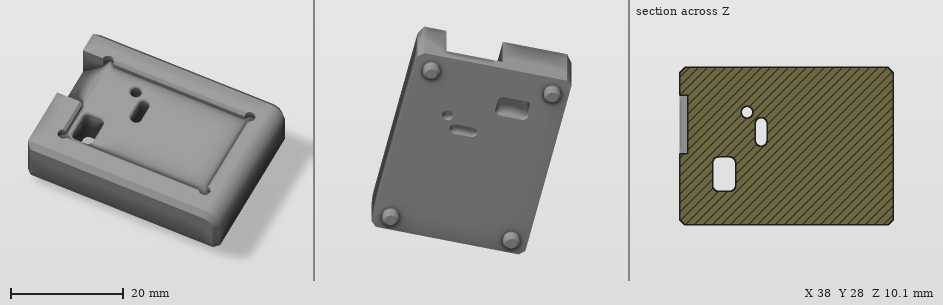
import cadquery as cq

LENGTH = 38
WIDTH = 28.0
TOTAL_HEIGHT = 10.1
FOOT_HEIGHT = 1.6
BODY_HEIGHT = TOTAL_HEIGHT - FOOT_HEIGHT
EDGE_CHAMFER = 1.0
END_RADIUS = 3.0

TRAY_LENGTH = 28.0
TRAY_WIDTH = 18.0
TRAY_DEPTH = 1.5
TRAY_CHAMFER = 0.5
RELIEF_DIAMETER = 2.0
FLOOR_Z = BODY_HEIGHT - TRAY_DEPTH

RAMP_BACK_Y = TRAY_WIDTH / 2
RAMP_WIDTH = 10.3
RAMP_LENGTH = (LENGTH - TRAY_LENGTH) / 2
RAMP_START_Z = FLOOR_Z - RAMP_LENGTH

OPENING_CHAMFER = 0.25
HOLE_DIAMETER = 2.0
HOLE_CENTER = (-7.0, 6.0)
SLOT_LENGTH = 5.0
SLOT_WIDTH = 2.0
SLOT_CENTER = (-4.5, 2.5)
WINDOW_LENGTH = 4.0
WINDOW_WIDTH = 6.0
WINDOW_RADIUS = 1.0
WINDOW_CENTER = (-11.05, -4.98)

FOOT_DIAMETER = 3.0
FOOT_CHAMFER = 0.5
FOOT_INSET = 3.0


def make_body():
    """Block with a rounded +X top edge and chamfered front and back faces."""
    block = cq.Workplane("XY").box(LENGTH, WIDTH, BODY_HEIGHT, centered=(True, True, False))
    block = block.edges(">X and >Z").fillet(END_RADIUS)
    for side in ("<Y", ">Y"):
        block = block.faces(side).edges("not(<Z)").chamfer(EDGE_CHAMFER)
    return block


def make_tray():
    """Tray volume, widening at its rim, with a round relief at each corner."""
    tray = (
        cq.Workplane("XY", origin=(0, 0, FLOOR_Z))
        .rect(TRAY_LENGTH, TRAY_WIDTH)
        .extrude(TRAY_DEPTH)
    )
    rim = (
        cq.Workplane("XY", origin=(0, 0, BODY_HEIGHT))
        .rect(TRAY_LENGTH + 2 * TRAY_CHAMFER, TRAY_WIDTH + 2 * TRAY_CHAMFER)
        .workplane(offset=-TRAY_CHAMFER)
        .rect(TRAY_LENGTH, TRAY_WIDTH)
        .loft(ruled=True)
    )
    reliefs = (
        cq.Workplane("XY", origin=(0, 0, FLOOR_Z))
        .rect(TRAY_LENGTH, TRAY_WIDTH, forConstruction=True)
        .vertices()
        .circle(RELIEF_DIAMETER / 2)
        .extrude(TRAY_DEPTH)
    )
    return tray.union(rim).union(reliefs)


def make_ramp_profile(back_y, width):
    """Space above the ramp slope, reaching from back_y toward -Y by width."""
    side_x = -LENGTH / 2
    tray_x = -TRAY_LENGTH / 2
    return (
        cq.Workplane("XZ", origin=(0, back_y, 0))
        .moveTo(side_x, RAMP_START_Z)
        .lineTo(tray_x, FLOOR_Z)
        .lineTo(tray_x, BODY_HEIGHT)
        .lineTo(side_x, BODY_HEIGHT)
        .close()
        .extrude(width)
    )


def make_ramp():
    """Ramp channel, with the adjoining corner relief deepened to the slope."""
    channel = make_ramp_profile(RAMP_BACK_Y, RAMP_WIDTH)
    relief_radius = RELIEF_DIAMETER / 2
    relief = (
        cq.Workplane("XY")
        .center(-TRAY_LENGTH / 2, RAMP_BACK_Y)
        .circle(relief_radius)
        .extrude(BODY_HEIGHT)
        .intersect(make_ramp_profile(RAMP_BACK_Y + relief_radius, RELIEF_DIAMETER))
    )
    return channel.union(relief)


def make_openings():
    """Through cutters for the round hole, the slot and the window."""
    base = cq.Workplane("XY")
    hole = base.center(*HOLE_CENTER).circle(HOLE_DIAMETER / 2).extrude(FLOOR_Z)
    slot = base.center(*SLOT_CENTER).slot2D(SLOT_LENGTH, SLOT_WIDTH, 90).extrude(FLOOR_Z)
    window = (
        base.center(*WINDOW_CENTER)
        .rect(WINDOW_LENGTH, WINDOW_WIDTH)
        .extrude(FLOOR_Z)
        .edges("|Z")
        .fillet(WINDOW_RADIUS)
    )
    return [hole, slot, window]


def cut_openings(body):
    """Cut each opening and chamfer its edge at the tray floor."""
    for opening in make_openings():
        body = body.cut(opening)
    floor = body.faces(cq.selectors.NearestToPointSelector((0, 0, FLOOR_Z)))
    openings_rim = [edge for wire in floor.val().innerWires() for edge in wire.Edges()]
    return body.newObject(openings_rim).chamfer(OPENING_CHAMFER)


def make_feet():
    """Four round feet with chamfered lower edges."""
    return (
        cq.Workplane("XY")
        .rect(LENGTH - 2 * FOOT_INSET, WIDTH - 2 * FOOT_INSET, forConstruction=True)
        .vertices()
        .circle(FOOT_DIAMETER / 2)
        .extrude(-FOOT_HEIGHT)
        .faces("<Z")
        .chamfer(FOOT_CHAMFER)
    )


body = make_body().cut(make_tray()).cut(make_ramp())
result = cut_openings(body).union(make_feet())